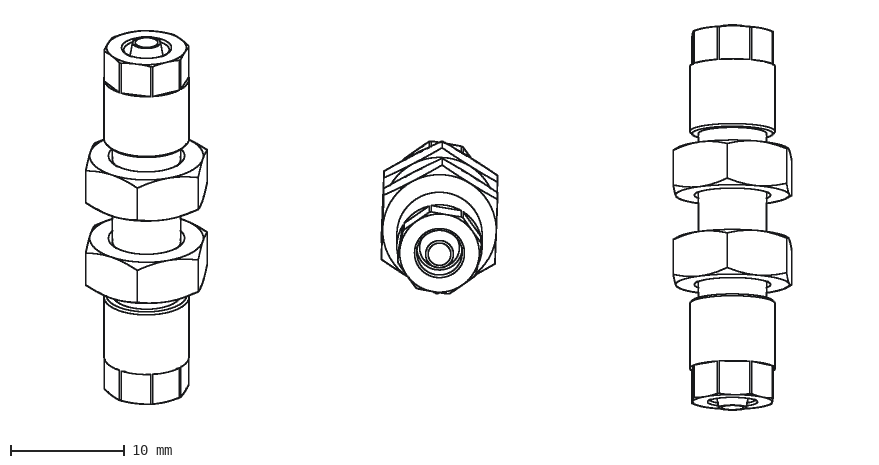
import cadquery as cq
import math

TIP_Z = 17.0

BORE_DIA = 2.0
THREAD_DIA = 6.0
SPIGOT_TIP_DIA = 2.45
SPIGOT_ROOT_DIA = 3.5
SPIGOT_LENGTH = 3.0
SHOULDER_Z = TIP_Z - SPIGOT_LENGTH

NUT_SIDES = 6
NUT_FLATS = 10.0
NUT_HEIGHT = 4.0
NUT_BOTTOM_Z = 2.0
NUT_TOP_Z = NUT_BOTTOM_Z + NUT_HEIGHT
NUT_CHAMFER_ANGLE = 30.0
NUT_HOLE_CHAMFER = 0.35

CAP_SIDES = 8
CAP_DIA = 7.5
CAP_FLATS = 7.0
CAP_FLAT_LENGTH = 3.0
CAP_LENGTH = 9.0
SPIGOT_PROTRUSION = 0.5
CAP_TOP_Z = TIP_Z - SPIGOT_PROTRUSION
CAP_BOTTOM_Z = CAP_TOP_Z - CAP_LENGTH
CAP_BOTTOM_CHAMFER = 0.2
CAP_CORNER_DROP = 0.1
HOSE_HOLE_DIA = 4.0
HOSE_HOLE_CHAMFER = 0.2


def revolved(profile):
    """Solid of revolution about Z from (radius, height) points."""
    return cq.Workplane("XZ").polyline(profile).close().revolve(360, (0, 0, 0), (0, 1, 0))


def prism(sides, flats, bottom, height):
    """Regular prism with a corner on +X, sized across its flats."""
    corner_dia = flats / math.cos(math.pi / sides)
    return cq.Workplane("XY").workplane(offset=bottom).polygon(sides, corner_dia).extrude(height)


def make_rod():
    """Threaded rod with a tapered hose spigot on each end and a through bore."""
    return revolved([
        (BORE_DIA / 2, -TIP_Z),
        (SPIGOT_TIP_DIA / 2, -TIP_Z),
        (SPIGOT_ROOT_DIA / 2, -SHOULDER_Z),
        (THREAD_DIA / 2, -SHOULDER_Z),
        (THREAD_DIA / 2, SHOULDER_Z),
        (SPIGOT_ROOT_DIA / 2, SHOULDER_Z),
        (SPIGOT_TIP_DIA / 2, TIP_Z),
        (BORE_DIA / 2, TIP_Z),
    ])


def make_nut():
    """Upper hex nut: corners cut by a cone at both faces, hole chamfered at both ends."""
    face_radius = NUT_FLATS / 2
    corner_radius = face_radius / math.cos(math.pi / NUT_SIDES)
    corner_drop = (corner_radius - face_radius) * math.tan(math.radians(NUT_CHAMFER_ANGLE))
    hole_radius = THREAD_DIA / 2
    mouth_radius = hole_radius + NUT_HOLE_CHAMFER
    ring = revolved([
        (mouth_radius, NUT_BOTTOM_Z),
        (face_radius, NUT_BOTTOM_Z),
        (corner_radius, NUT_BOTTOM_Z + corner_drop),
        (corner_radius, NUT_TOP_Z - corner_drop),
        (face_radius, NUT_TOP_Z),
        (mouth_radius, NUT_TOP_Z),
        (hole_radius, NUT_TOP_Z - NUT_HOLE_CHAMFER),
        (hole_radius, NUT_BOTTOM_Z + NUT_HOLE_CHAMFER),
    ])
    return ring.intersect(prism(NUT_SIDES, NUT_FLATS, NUT_BOTTOM_Z, NUT_HEIGHT))


def make_cap():
    """Upper union cap: round skirt over the thread, eight wrench flats around the hose hole."""
    outer_radius = CAP_DIA / 2
    hole_radius = HOSE_HOLE_DIA / 2
    sleeve = revolved([
        (THREAD_DIA / 2, CAP_BOTTOM_Z),
        (outer_radius - CAP_BOTTOM_CHAMFER, CAP_BOTTOM_Z),
        (outer_radius, CAP_BOTTOM_Z + CAP_BOTTOM_CHAMFER),
        (outer_radius, CAP_TOP_Z - CAP_CORNER_DROP),
        (CAP_FLATS / 2, CAP_TOP_Z),
        (hole_radius + HOSE_HOLE_CHAMFER, CAP_TOP_Z),
        (hole_radius, CAP_TOP_Z - HOSE_HOLE_CHAMFER),
        (hole_radius, SHOULDER_Z),
        (THREAD_DIA / 2, SHOULDER_Z),
    ])
    flats_bottom = CAP_TOP_Z - CAP_FLAT_LENGTH
    around_flats = (
        cq.Workplane("XY").workplane(offset=flats_bottom).circle(CAP_DIA).extrude(CAP_FLAT_LENGTH)
        .cut(prism(CAP_SIDES, CAP_FLATS, flats_bottom, CAP_FLAT_LENGTH))
    )
    return sleeve.cut(around_flats)


rod = make_rod()
upper_nut = make_nut()
upper_cap = make_cap()

bodies = [rod.val()]
for upper in (upper_nut, upper_cap):
    lower = upper.mirror("XY")
    bodies += [upper.solids().val(), lower.solids().val()]

result = cq.Compound.makeCompound(bodies)